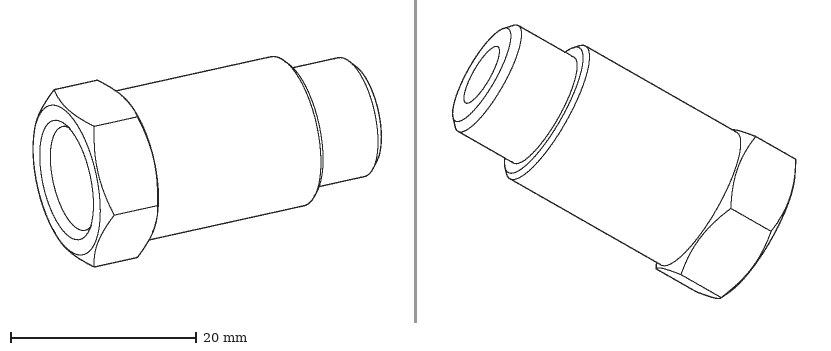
import cadquery as cq
import math

total_length = 35.0
hex_length = 7.0
shoulder_position = 27.0

hex_sides = 6
across_flats = 17.0
body_diameter = 16.5
spigot_diameter = 13.16
spigot_tip_diameter = 11.5
body_chamfer = 0.5
spigot_chamfer = (spigot_diameter - spigot_tip_diameter) / 2
hex_chamfer_angle = 30.0

bore_diameter = 11.45
bore_mouth_diameter = spigot_diameter
bore_depth = 15.0
drill_point_angle = 120.0
through_diameter = 7.0

across_corners = across_flats / math.cos(math.pi / hex_sides)


def revolve_about_y(points):
    """Solid of revolution about Y from (radius, position along Y) points."""
    return cq.Workplane("XY").polyline(points).close().revolve(360, (0, 0, 0), (0, 1, 0))


def make_hexagon():
    """Hexagon with corners on X, its corners turned off conically at both ends."""
    prism = cq.Workplane("XZ").polygon(hex_sides, across_corners).extrude(-hex_length)
    face_radius = body_diameter / 2
    corner_radius = across_corners / 2
    corner_drop = (corner_radius - face_radius) * math.tan(math.radians(hex_chamfer_angle))
    apex_radius = face_radius + hex_length / 2 * (corner_radius - face_radius) / corner_drop
    envelope = revolve_about_y([
        (0, 0),
        (face_radius, 0),
        (apex_radius, hex_length / 2),
        (face_radius, hex_length),
        (0, hex_length),
    ])
    return prism.intersect(envelope)


def make_barrel():
    """Round body and smaller spigot, each with a chamfered end."""
    body_radius = body_diameter / 2
    spigot_radius = spigot_diameter / 2
    return revolve_about_y([
        (0, 0),
        (body_radius, 0),
        (body_radius, shoulder_position - body_chamfer),
        (body_radius - body_chamfer, shoulder_position),
        (spigot_radius, shoulder_position),
        (spigot_radius, total_length - spigot_chamfer),
        (spigot_tip_diameter / 2, total_length),
        (0, total_length),
    ])


def make_passage():
    """Countersunk bore with a drill-point floor, continuing as a through hole."""
    bore_radius = bore_diameter / 2
    mouth_radius = bore_mouth_diameter / 2
    through_radius = through_diameter / 2
    mouth_depth = mouth_radius - bore_radius
    floor_depth = (bore_radius - through_radius) / math.tan(math.radians(drill_point_angle / 2))
    return revolve_about_y([
        (0, 0),
        (mouth_radius, 0),
        (bore_radius, mouth_depth),
        (bore_radius, bore_depth),
        (through_radius, bore_depth + floor_depth),
        (through_radius, total_length),
        (0, total_length),
    ])


result = make_hexagon().union(make_barrel()).cut(make_passage())